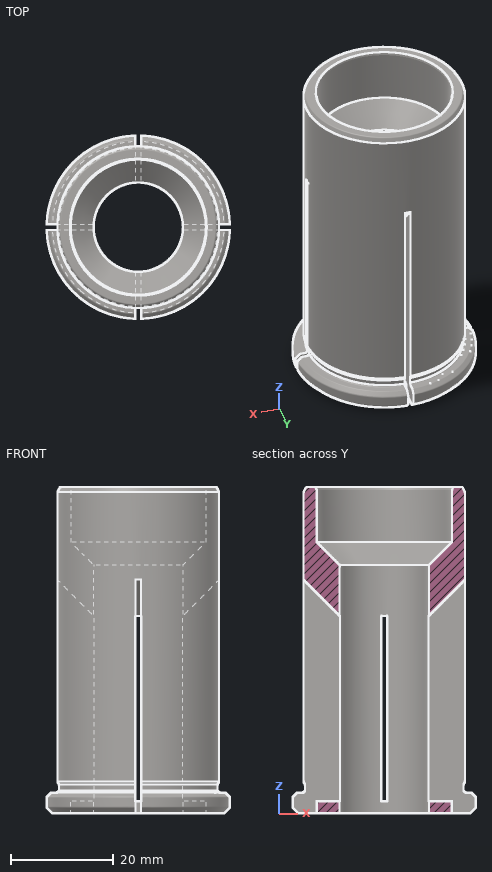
import cadquery as cq

height = 64.0
body_radius = 31.75 / 2
rim_chamfer_width = 0.5
rim_chamfer_height = 1.0

collar_radius = 36.0 / 2
collar_height = 4.1
collar_bottom_chamfer = 1.15
collar_top_chamfer = 0.9
edge_round = 0.4
groove_depth = 0.3
groove_top = 6.3
groove_taper_height = 0.65
groove_foot = 0.4

bore_radius = 17.5 / 2
counterbore_radius = 26.5 / 2
counterbore_depth = 10.8
mouth_chamfer_width = 0.2
mouth_chamfer_height = 0.65

slot_width = 1.1
slot_count = 4
slot_top = 45.8
ring_height = 2.4
ring_radius = counterbore_radius
cut_clearance = 0.65


def round_corner(body, radius, level):
    """Round the circular edge that has the given radius and height."""
    margin = 0.03
    corner = cq.selectors.BoxSelector(
        (-radius - margin, -radius - margin, level - margin),
        (radius + margin, radius + margin, level + margin),
        boundingbox=True,
    )
    return body.edges(corner).fillet(edge_round)


def make_body():
    """Revolved outline of the sleeve, its groove and its collar."""
    groove_radius = body_radius - groove_depth
    outline = [
        (0, 0),
        (collar_radius - collar_bottom_chamfer, 0),
        (collar_radius, collar_bottom_chamfer),
        (collar_radius, collar_height - collar_top_chamfer),
        (collar_radius - collar_top_chamfer, collar_height),
        (groove_radius + groove_foot, collar_height),
        (groove_radius, collar_height + groove_foot),
        (groove_radius, groove_top - groove_taper_height),
        (body_radius, groove_top),
        (body_radius, height - rim_chamfer_height),
        (body_radius - rim_chamfer_width, height),
        (0, height),
    ]
    body = cq.Workplane("XZ").polyline(outline).close().revolve(360, (0, 0), (0, 1))
    corners = [
        (collar_radius, collar_bottom_chamfer),
        (collar_radius, collar_height - collar_top_chamfer),
        (collar_radius - collar_top_chamfer, collar_height),
        (body_radius - rim_chamfer_width, height),
    ]
    for radius, level in corners:
        body = round_corner(body, radius, level)
    return body


def make_bore():
    """Through bore widening by a 45 degree cone into the counterbore."""
    cone_top = height - counterbore_depth
    cone_bottom = cone_top - (counterbore_radius - bore_radius)
    outline = [
        (0, 0),
        (bore_radius, 0),
        (bore_radius, cone_bottom),
        (counterbore_radius, cone_top),
        (counterbore_radius, height - mouth_chamfer_height),
        (counterbore_radius + mouth_chamfer_width, height),
        (0, height),
    ]
    return cq.Workplane("XZ").polyline(outline).close().revolve(360, (0, 0), (0, 1))


def make_slot():
    """One radial slot: a 45 degree run-out at the top, a step around the ring at the bottom."""
    outer = collar_radius + cut_clearance
    outline = [
        (0, ring_height),
        (ring_radius, ring_height),
        (ring_radius, -cut_clearance),
        (outer, -cut_clearance),
        (outer, slot_top + outer - body_radius),
        (0, slot_top - body_radius),
    ]
    return cq.Workplane("XZ").polyline(outline).close().extrude(slot_width / 2, both=True)


result = make_body().cut(make_bore())
slot = make_slot()
for index in range(slot_count):
    angle = index * 360 / slot_count
    result = result.cut(slot.rotate((0, 0, 0), (0, 0, 1), angle))